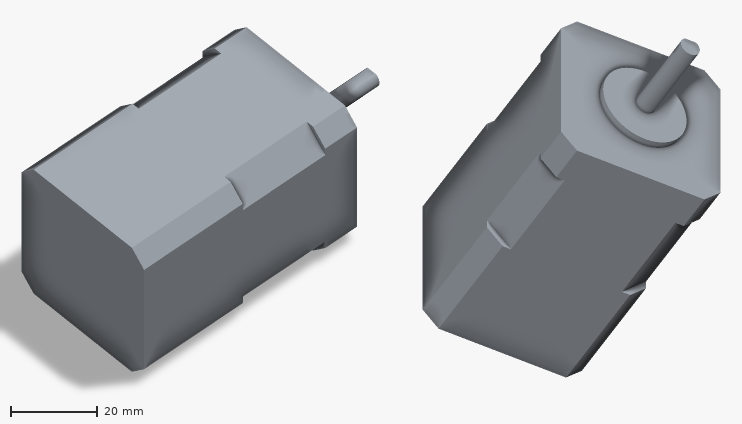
import cadquery as cq

total_length = 91.0
body_width = 42.0

shaft_diameter = 5.0
shaft_length = 22.0
flat_length = 15.0
flat_depth = 0.5
pilot_diameter = 22.0
pilot_height = 2.0

body_length = total_length - shaft_length - pilot_height
front_cap_length = 10.0
stator_length = 25.9
rear_cap_length = body_length - front_cap_length - stator_length
cap_chamfer = 4.2
stator_chamfer = 6.4

rear_face = -body_length
stator_rear = rear_face + rear_cap_length
stator_front = stator_rear + stator_length
shaft_base = pilot_height
shaft_tip = shaft_base + shaft_length


def chamfered_block(start, length, chamfer):
    """Square block from Y = start towards +Y, with its long edges chamfered."""
    return (
        cq.Workplane("XZ", origin=(0, start, 0))
        .rect(body_width, body_width)
        .extrude(-length)
        .edges("|Y")
        .chamfer(chamfer)
    )


def cylinder(start, length, diameter):
    """Round bar on the motor axis from Y = start towards +Y."""
    return cq.Workplane("XZ", origin=(0, start, 0)).circle(diameter / 2).extrude(-length)


def flatted_shaft():
    """Output shaft with a flat on its upper side at the tip."""
    flat_height = shaft_diameter / 2 - flat_depth
    flat_cut = cq.Workplane("XY", origin=(0, shaft_tip - flat_length / 2, flat_height)).box(
        shaft_diameter, flat_length, shaft_diameter, centered=(True, True, False)
    )
    return cylinder(shaft_base, shaft_length, shaft_diameter).cut(flat_cut)


rear_cap = chamfered_block(rear_face, rear_cap_length, cap_chamfer)
stator = chamfered_block(stator_rear, stator_length, stator_chamfer)
front_cap = chamfered_block(stator_front, front_cap_length, cap_chamfer)
pilot = cylinder(0, pilot_height, pilot_diameter)

result = rear_cap.union(stator).union(front_cap).union(pilot).union(flatted_shaft())